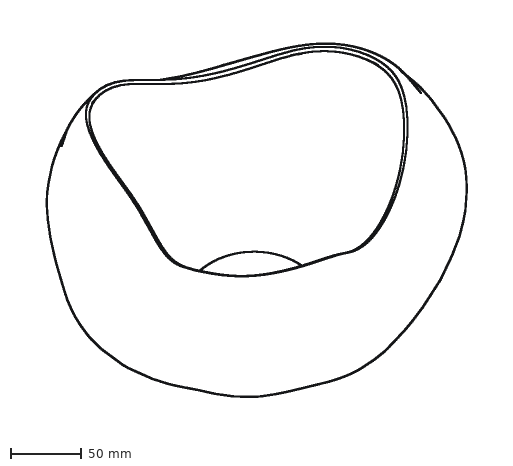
import cadquery as cq
import math


wall = 3.5
base_radius = 51.7

heel_radius = 71.7
heel_height = 9.2

foot_radii = [
    116.2, 114.8, 113.5, 112.0, 109.0, 109.0, 111.3, 112.0, 112.0,
    112.0, 114.8, 110.5, 105.5, 102.0, 102.0, 106.2, 112.0, 114.8,
]
belly_radii = [
    143.0, 143.5, 148.7, 151.5, 145.0, 143.5, 145.2, 143.0, 138.5,
    141.2, 148.7, 149.8, 143.5, 143.8, 143.5, 145.8, 145.0, 142.5,
]
belly_heights = [
    126.3, 120.5, 126.3, 137.8, 145.0, 137.8, 120.5, 106.2, 97.5,
    94.7, 97.5, 97.5, 91.8, 83.2, 83.2, 97.5, 117.7, 137.8,
]
rim_radii = [
    106.2, 103.3, 105.5, 110.5, 114.2, 107.3, 101.0, 98.1, 98.1,
    104.5, 118.2, 122.0, 106.2, 94.0, 97.0, 110.5, 120.5, 114.8,
]
rim_heights = [
    170.5, 160.0, 172.2, 192.3, 200.5, 196.5, 182.2, 162.1, 153.8,
    162.1, 183.7, 196.5, 189.0, 173.5, 157.8, 175.0, 191.0, 188.8,
]
directions = len(rim_radii)

foot_rise = 0.36
flank_step = 0.5
flank_bulge = 5.7
shoulder_bulge = 5.7
shoulder_steps = [1 / 3, 2 / 3]

slope = math.sqrt(0.5)


def ring(radii, heights, inward, upward):
    """Closed smooth curve around the Z axis, moved into the bowl as given."""
    points = []
    for i, (radius, height) in enumerate(zip(radii, heights)):
        angle = 2 * math.pi * i / directions
        x = (radius - inward) * math.cos(angle)
        y = (radius - inward) * math.sin(angle)
        points.append(cq.Vector(x, y, height + upward))
    return cq.Wire.assembleEdges([cq.Edge.makeSpline(points, periodic=True)])


def blend(starts, ends, step):
    """Values part of the way from the starts to the ends."""
    return [start + step * (end - start) for start, end in zip(starts, ends)]


def bulged_blend(starts, ends, step, bulge):
    """Blended radii, pushed outwards by the full bulge halfway and less near the ends."""
    push = bulge * 4 * step * (1 - step)
    return [radius + push for radius in blend(starts, ends, step)]


def flank_ring(foot_heights, inward):
    radii = bulged_blend(foot_radii, belly_radii, flank_step, flank_bulge)
    return ring(radii, blend(foot_heights, belly_heights, flank_step), inward, 0)


def shoulder_ring(step, inward, upward):
    radii = bulged_blend(belly_radii, rim_radii, step, shoulder_bulge)
    return ring(radii, blend(belly_heights, rim_heights, step), inward, upward)


def bowl_rings(thickness):
    """Rings from floor to rim, moved into the bowl by the given thickness."""
    sloped = slope * thickness
    flat_floor = [0] * directions
    foot_heights = [foot_rise * height for height in belly_heights]
    return [
        ring([base_radius] * directions, flat_floor, 0, thickness),
        ring([heel_radius] * directions, [heel_height] * directions, sloped, sloped),
        ring(foot_radii, foot_heights, sloped, sloped),
        flank_ring(foot_heights, thickness),
        ring(belly_radii, belly_heights, thickness, 0),
        *[shoulder_ring(step, sloped, -sloped) for step in shoulder_steps],
        ring(rim_radii, rim_heights, sloped, -sloped),
    ]


def skin(rings):
    """Smooth surface through the rings, closed by a flat floor."""
    side = cq.occ_impl.shapes.loft(*rings, parametrization="chordal")
    return side.Faces() + [cq.Face.makeFromWires(rings[0])]


outer_rings = bowl_rings(0)
inner_rings = bowl_rings(wall)
rim_face = cq.Face.makeRuledSurface(outer_rings[-1], inner_rings[-1])

shell = cq.Shell.makeShell(skin(outer_rings) + skin(inner_rings) + rim_face.Faces())
result = cq.Workplane(cq.Solid.makeSolid(shell))